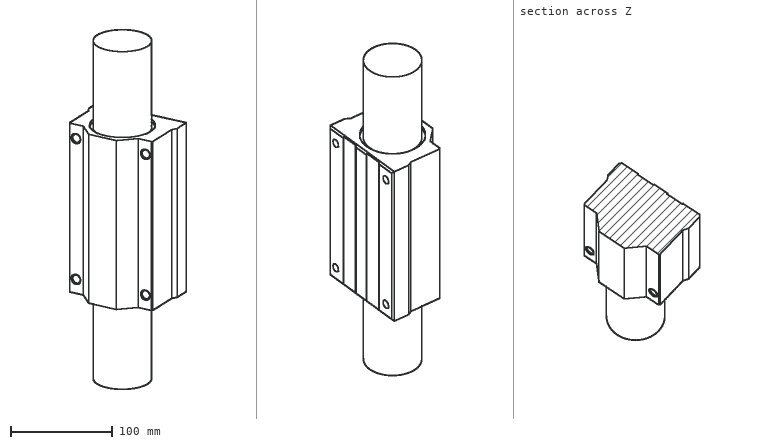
import cadquery as cq
import math

shaft_diameter = 58.0
shaft_length = 360.0
bearing_diameter = 65.0
bearing_recess = 3.0

housing_length = 180.0
housing_depth = 78.0
mount_face_y = 40.0
nose_face_y = mount_face_y - housing_depth
flange_half_width = 51.0
flange_end_y = 20.0
flange_slope_angle = 60.0
body_half_width = 48.0
shoulder_y = -22.5
nose_root_half_width = 31.5
nose_tip_half_width = 16.0
mount_edge_chamfer = 2.0
shoulder_edge_chamfer = 1.0

pad_inner_half_width = 8.5
pad_outer_start = 28.3
relief_depth = 1.0

hole_diameter = 8.6
hole_mouth_diameter = 10.6
hole_spacing_x = 80.0
hole_spacing_z = 150.0


def make_housing():
    """Extrude the housing cross-section, centred along Z."""
    flange_step = flange_half_width - body_half_width
    slope_height = flange_step * math.tan(math.radians(flange_slope_angle))
    right_side = [
        (pad_inner_half_width, mount_face_y),
        (pad_inner_half_width, mount_face_y - relief_depth),
        (pad_outer_start, mount_face_y - relief_depth),
        (pad_outer_start, mount_face_y),
        (flange_half_width - mount_edge_chamfer, mount_face_y),
        (flange_half_width, mount_face_y - mount_edge_chamfer),
        (flange_half_width, flange_end_y),
        (body_half_width, flange_end_y - slope_height),
        (body_half_width, shoulder_y + shoulder_edge_chamfer),
        (body_half_width - shoulder_edge_chamfer, shoulder_y),
        (nose_root_half_width, shoulder_y),
        (nose_tip_half_width, nose_face_y),
    ]
    left_side = [(-x, y) for x, y in reversed(right_side)]
    return (
        cq.Workplane("XY")
        .polyline(right_side + left_side)
        .close()
        .extrude(housing_length / 2, both=True)
    )


def make_mounting_hole(x, z):
    """Make a through-hole cutter along Y with a countersunk mouth at the shoulder."""
    hole = (
        cq.Workplane("XZ", origin=(x, mount_face_y, z))
        .circle(hole_diameter / 2)
        .extrude(mount_face_y - shoulder_y)
    )
    mouth_depth = (hole_mouth_diameter - hole_diameter) / 2
    mouth = cq.Solid.makeCone(
        hole_mouth_diameter / 2,
        hole_diameter / 2,
        mouth_depth,
        pnt=cq.Vector(x, shoulder_y, z),
        dir=cq.Vector(0, 1, 0),
    )
    return hole.union(cq.Workplane(mouth))


def make_bearing_recess(end):
    """Make the shallow round recess at one housing end (+1 top, -1 bottom)."""
    floor_z = end * (housing_length / 2 - bearing_recess)
    return (
        cq.Workplane("XY", origin=(0, 0, floor_z))
        .circle(bearing_diameter / 2)
        .extrude(end * bearing_recess)
    )


def make_end_chamfer(end):
    """Make the cutter that bevels the mounting-face edge at one housing end."""
    end_z = end * housing_length / 2
    return (
        cq.Workplane("YZ")
        .polyline([
            (mount_face_y, end_z),
            (mount_face_y - mount_edge_chamfer, end_z),
            (mount_face_y, end_z - end * mount_edge_chamfer),
        ])
        .close()
        .extrude(flange_half_width, both=True)
    )


result = make_housing()
for end in (-1, 1):
    result = result.cut(make_end_chamfer(end))
    result = result.cut(make_bearing_recess(end))
    for side in (-1, 1):
        result = result.cut(make_mounting_hole(side * hole_spacing_x / 2, end * hole_spacing_z / 2))

shaft = cq.Workplane("XY").circle(shaft_diameter / 2).extrude(shaft_length / 2, both=True)
result = result.union(shaft)